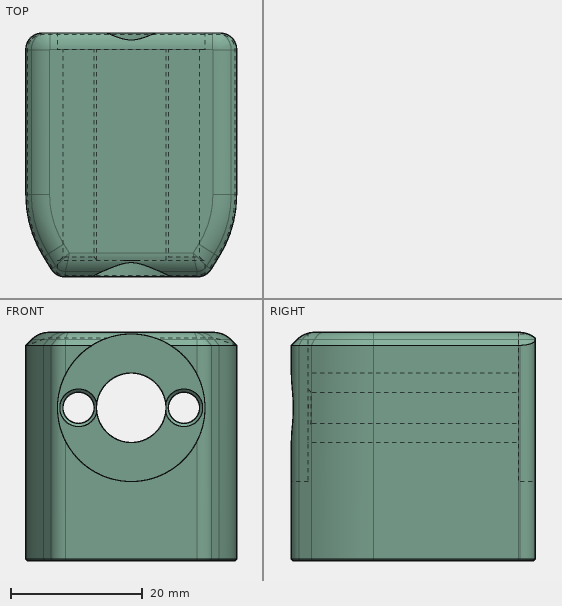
import cadquery as cq
import math

width = 32.0
length = 37.0
height = 34.67

side_start = 12.47
side_radius = 17.75
taper_angle = math.radians(32)
corner_radius = 2.5

bottom_chamfer = 0.25
top_chamfer = 2.0
top_radius = 3.92
bevel_overhang = 1.1
bevel_corner_radius = 3.65

bore_height = 23.2
bore_diameter = 10.5
pocket_diameter = 22.4
pocket_depth = 2.5
screw_offset = 8.0
screw_diameter = 4.7
screw_mouth_diameter = 5.7


def plan_prism(rear_y, rear_corner_radius):
    """Extrude the plan outline, whose sides curve in and then taper to the front."""
    half = width / 2

    def on_side_arc(angle):
        return (
            half - side_radius * (1 - math.cos(angle)),
            side_start - side_radius * math.sin(angle),
        )

    arc_mid = on_side_arc(taper_angle / 2)
    arc_end = on_side_arc(taper_angle)
    front_x = arc_end[0] - arc_end[1] * math.tan(taper_angle)
    prism = (
        cq.Workplane("XY")
        .moveTo(-half, rear_y)
        .lineTo(half, rear_y)
        .lineTo(half, side_start)
        .threePointArc(arc_mid, arc_end)
        .lineTo(front_x, 0)
        .lineTo(-front_x, 0)
        .lineTo(-arc_end[0], arc_end[1])
        .threePointArc((-arc_mid[0], arc_mid[1]), (-half, side_start))
        .close()
        .extrude(height)
    )
    prism = prism.edges("|Z").edges("<Y").fillet(corner_radius)
    return prism.edges("|Z").edges(">Y").fillet(rear_corner_radius)


def block():
    """Trim the plain block with a longer bevelled one, so the rear cuts its bevel short."""
    body = plan_prism(length, corner_radius)
    body = body.faces("<Z").edges().chamfer(bottom_chamfer)
    bevelled = plan_prism(length + bevel_overhang, bevel_corner_radius)
    bevelled = bevelled.faces(">Z").edges().chamfer(top_chamfer)
    bevelled = bevelled.faces(">Z").edges().fillet(top_radius)
    return body.intersect(bevelled)


def cylinder_along_y(diameter, y_start, y_end, x=0):
    return (
        cq.Workplane("XZ", origin=(x, y_start, bore_height))
        .circle(diameter / 2)
        .extrude(y_start - y_end)
    )


def screw_hole(x):
    """Through hole with a 45 degree countersink in the front pocket floor."""
    hole = cylinder_along_y(screw_diameter, 0, length, x)
    sink_depth = (screw_mouth_diameter - screw_diameter) / 2
    countersink = cq.Solid.makeCone(
        screw_mouth_diameter / 2,
        screw_diameter / 2,
        sink_depth,
        cq.Vector(x, pocket_depth, bore_height),
        cq.Vector(0, 1, 0),
    )
    return hole.union(cq.Workplane(countersink))


result = block()
result = result.cut(cylinder_along_y(bore_diameter, 0, length))
result = result.cut(cylinder_along_y(pocket_diameter, 0, pocket_depth))
result = result.cut(cylinder_along_y(pocket_diameter, length - pocket_depth, length))
for side in (-1, 1):
    result = result.cut(screw_hole(side * screw_offset))